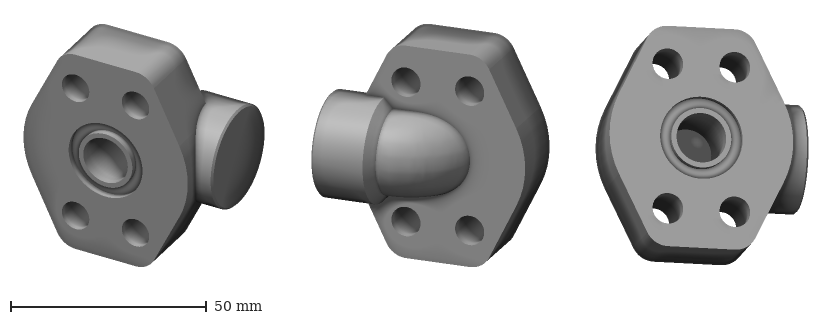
import cadquery as cq
import math

plate_thickness = 16.95
plate_half_height = 29.0
side_radius = 24.0
corner_radius = 6.0

bolt_x = 8.75
bolt_z = 19.0
bolt_diameter = 8.0

groove_outer_diameter = 21.6
groove_inner_diameter = 15.65
groove_depth = 1.9
bore_diameter = 13.0

outlet_axis_y = 18.0
bend_radius = 11.5
tube_radius = 11.35
cone_start_x = 12.2
socket_start_x = 14.75
socket_end_x = 29.0
socket_diameter = 28.0
socket_radius = socket_diameter / 2
socket_chamfer = 0.5


def make_plate():
    """Plate whose side and corner arcs are joined by tangent lines."""
    corner_z = plate_half_height - corner_radius
    corner_distance = math.hypot(bolt_x, corner_z)
    tangent_angle = math.atan2(corner_z, bolt_x) - math.acos(
        (side_radius - corner_radius) / corner_distance
    )
    side_x = side_radius * math.cos(tangent_angle)
    side_z = side_radius * math.sin(tangent_angle)
    tangent_x = bolt_x + corner_radius * math.cos(tangent_angle)
    tangent_z = corner_z + corner_radius * math.sin(tangent_angle)
    middle_angle = (tangent_angle + math.pi / 2) / 2
    middle_x = bolt_x + corner_radius * math.cos(middle_angle)
    middle_z = corner_z + corner_radius * math.sin(middle_angle)
    return (
        cq.Workplane("XZ")
        .moveTo(side_x, -side_z)
        .threePointArc((side_radius, 0), (side_x, side_z))
        .lineTo(tangent_x, tangent_z)
        .threePointArc((middle_x, middle_z), (bolt_x, plate_half_height))
        .lineTo(-bolt_x, plate_half_height)
        .threePointArc((-middle_x, middle_z), (-tangent_x, tangent_z))
        .lineTo(-side_x, side_z)
        .threePointArc((-side_radius, 0), (-side_x, -side_z))
        .lineTo(-tangent_x, -tangent_z)
        .threePointArc((-middle_x, -middle_z), (-bolt_x, -plate_half_height))
        .lineTo(bolt_x, -plate_half_height)
        .threePointArc((middle_x, -middle_z), (tangent_x, -tangent_z))
        .close()
        .extrude(-plate_thickness)
    )


def make_elbow():
    """Quarter bend that turns the +Y port axis toward +X."""
    bend_start_y = outlet_axis_y - bend_radius
    return (
        cq.Workplane("XZ", origin=(0, bend_start_y, 0))
        .circle(tube_radius)
        .revolve(90, (bend_radius, 0), (bend_radius, -1))
    )


def make_socket():
    """Short neck, cone and chamfered cylinder turned about the outlet axis."""
    profile = [
        (bend_radius, 0),
        (bend_radius, tube_radius),
        (cone_start_x, tube_radius),
        (socket_start_x, socket_radius),
        (socket_end_x - socket_chamfer, socket_radius),
        (socket_end_x, socket_radius - socket_chamfer),
        (socket_end_x, 0),
    ]
    return (
        cq.Workplane("XY", origin=(0, outlet_axis_y, 0))
        .polyline(profile)
        .close()
        .revolve(360, (0, 0), (1, 0))
    )


def make_bolt_holes():
    return (
        cq.Workplane("XZ")
        .rect(2 * bolt_x, 2 * bolt_z, forConstruction=True)
        .vertices()
        .circle(bolt_diameter / 2)
        .extrude(-plate_thickness)
    )


def make_groove():
    return (
        cq.Workplane("XZ")
        .circle(groove_outer_diameter / 2)
        .circle(groove_inner_diameter / 2)
        .extrude(-groove_depth)
    )


def make_bore():
    """Blind port bore that ends at the outlet axis."""
    return cq.Workplane("XZ").circle(bore_diameter / 2).extrude(-outlet_axis_y)


result = make_plate().union(make_elbow()).union(make_socket())
result = result.cut(make_bolt_holes()).cut(make_groove()).cut(make_bore())